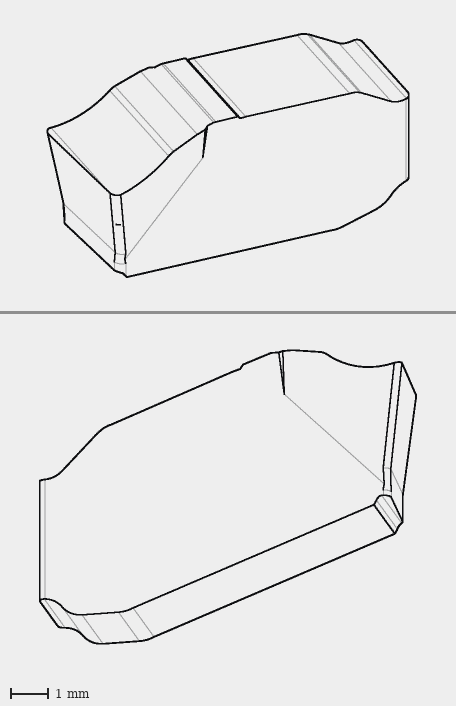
import cadquery as cq
import math

length = 10.0
height = 7.0
body_width = 2.5
tip_width = 3.04

tail_top = 3.9
tail_land = 0.16
tail_arc_radius = 0.7
ramp_angle = math.radians(45)
ramp_end = (length - 1.61, 5.08)
shoulder_low = (length - 1.67, 5.13)
shoulder_mid = (length - 1.82, 5.24)
shoulder_high = (length - 2.0, 5.31)
slope_end = (length - 5.36, 6.56)
step_foot = (length - 5.54, 6.61)
step_head = (length - 5.62, 6.73)
crown_blend_start = (length - 6.33, 6.98)
crown_blend_mid = (length - 6.36, 6.99)
crown_back = length - 6.4
crown_front = length - 7.0
brow_start = (2.2, 6.87)
brow_mid = (2.12, 6.84)
dip_start = (2.04, 6.79)
dip_middle = (1.05, 6.35)
lip_start = (0.21, 6.37)
tip_height = 6.42

tail_bottom = 0.53
tail_hollow_mid = (length - 0.44, 0.45)
tail_hollow_end = (length - 0.66, 0.26)
heel_mid = (length - 0.88, 0.08)
heel_end = (length - 1.2, 0.0)
keel_end = length - 2.2
keel_arc_mid = (length - 2.4, 0.02)
keel_arc_end = (length - 2.6, 0.09)
chin_back = (0.79, 2.5)
chin_bend = (0.72, 2.62)
chin_mid = (0.66, 2.71)
chin_front = (0.58, 2.75)

front_skew = 4.5
pivot_x = -1.32
relief_setback = 0.34
relief_height = 3.52
front_radius = 0.24
arc_clearance = 0.005
tail_radius = 0.18

flare_apex = (length - 6.75, 5.81)
flare_back_setback = 0.15
flare_back_slant = 0.13
flare_reach = 20
flare_diagonal = 15.0
overhang = 0.5

flare_rate = (tip_width - body_width) / 2 / (flare_apex[0] + tip_height - flare_apex[1])
relief_slope = relief_setback / (tip_height - relief_height)
skew_slope = math.tan(math.radians(front_skew))
skew_stretch = 1 / math.cos(math.radians(front_skew))


def make_profile(width):
    """Extrude the outline, left overlong at the front, centred on X = 0."""
    arc_run = tail_arc_radius * math.sin(ramp_angle)
    arc_rise = tail_arc_radius * (1 - math.cos(ramp_angle))
    arc_start_y = length - tail_land
    mid_run = tail_arc_radius * math.sin(ramp_angle / 2)
    mid_rise = tail_arc_radius * (1 - math.cos(ramp_angle / 2))
    lip_slope = (tip_height - lip_start[1]) / lip_start[0]
    return (
        cq.Workplane("YZ")
        .moveTo(length, tail_bottom)
        .lineTo(length, tail_top)
        .lineTo(arc_start_y, tail_top)
        .threePointArc(
            (arc_start_y - mid_run, tail_top + mid_rise),
            (arc_start_y - arc_run, tail_top + arc_rise),
        )
        .lineTo(*ramp_end)
        .lineTo(*shoulder_low)
        .threePointArc(shoulder_mid, shoulder_high)
        .lineTo(*slope_end)
        .lineTo(*step_foot)
        .lineTo(*step_head)
        .lineTo(*crown_blend_start)
        .threePointArc(crown_blend_mid, (crown_back, height))
        .lineTo(crown_front, height)
        .lineTo(*brow_start)
        .threePointArc(brow_mid, dip_start)
        .threePointArc(dip_middle, lip_start)
        .lineTo(-overhang, tip_height + overhang * lip_slope)
        .lineTo(-overhang, chin_front[1])
        .lineTo(*chin_front)
        .threePointArc(chin_mid, chin_bend)
        .lineTo(*chin_back)
        .lineTo(*keel_arc_end)
        .threePointArc(keel_arc_mid, (keel_end, 0))
        .lineTo(*heel_end)
        .threePointArc(heel_mid, tail_hollow_end)
        .threePointArc(tail_hollow_mid, (length - tail_land, tail_bottom))
        .close()
        .extrude(width / 2, both=True)
    )


def make_flare(side):
    """Three-sided cone that widens the head on one side (+1 or -1) of the body."""
    apex_y, apex_z = flare_apex
    rise = height - apex_z
    back_inner_y = flare_back_setback
    back_outer_y = flare_back_setback - flare_back_slant
    outer_step = flare_rate * (rise - back_outer_y)
    base_x = side * body_width / 2
    outer_x = base_x + side * flare_reach * outer_step
    top_z = apex_z + flare_reach * rise
    apex = cq.Vector(base_x, apex_y, apex_z)
    front = cq.Vector(base_x, apex_y - flare_diagonal, apex_z - flare_diagonal)
    inner = cq.Vector(base_x, apex_y + flare_reach * back_inner_y, top_z)
    outer = cq.Vector(outer_x, apex_y + flare_reach * back_outer_y, top_z)
    triangles = [(apex, front, inner), (apex, inner, outer), (apex, outer, front), (front, outer, inner)]
    faces = [cq.Face.makeFromWires(cq.Wire.makePolygon(t, close=True)) for t in triangles]
    solid = cq.Solid.makeSolid(cq.Shell.makeShell(faces))
    return make_profile(2 * tip_width).intersect(cq.Workplane(solid))


def make_front_cutter():
    """Everything ahead of the two relief faces, skewed about the leading corner."""
    top_z = 2 * height
    return (
        cq.Workplane("YZ")
        .moveTo(-length, 0)
        .lineTo(relief_setback, 0)
        .lineTo(relief_setback, relief_height)
        .lineTo(-relief_slope * (top_z - tip_height), top_z)
        .lineTo(-length, top_z)
        .close()
        .extrude(2 * tip_width, both=True)
        .rotate((pivot_x, 0, 0), (pivot_x, 0, 1), front_skew)
    )


def front_corner(side, z):
    """Meeting point of one side face and the front relief faces at height z."""
    setback = min(relief_setback, relief_slope * (tip_height - z))
    front_y = setback * skew_stretch - pivot_x * skew_slope
    flush_y = flare_apex[0] + z - flare_apex[1]
    half_width = body_width / 2
    y = front_y + side * half_width * skew_slope
    if flush_y > y:
        skewed_flare = side * skew_slope * flare_rate
        y = (y + skewed_flare * flush_y) / (1 + skewed_flare)
        half_width += flare_rate * (flush_y - y)
    return side * half_width, y


def flush_height(side):
    """Height at which the flare starts along one front corner."""
    corner_y = front_corner(side, 0)[1]
    return corner_y + flare_apex[1] - flare_apex[0]


def make_corner_cutter(side):
    """Material outside one rounded front corner, with a section at each change of direction."""
    arc_inset = front_radius * (1 - math.sqrt(0.5))
    lean = flare_rate * front_radius
    wires = []
    for z in (chin_back[1], flush_height(side), relief_height, height + overhang):
        x, y = front_corner(side, z)
        side_x = side * max(body_width / 2, abs(x) - lean)
        front_y = y - side * front_radius * skew_slope
        on_front = cq.Vector(x - side * front_radius, front_y - arc_clearance, z)
        on_side = cq.Vector(side_x + side * arc_clearance, y + front_radius, z)
        on_arc = cq.Vector(x - side * arc_inset, y + arc_inset, z)
        outside = [
            on_side + cq.Vector(side * overhang, 0, 0),
            cq.Vector(x + side * overhang, y - overhang, z),
            on_front - cq.Vector(0, overhang, 0),
        ]
        points = [on_side, *outside, on_front]
        edges = [cq.Edge.makeLine(a, b) for a, b in zip(points, points[1:])]
        edges.append(cq.Edge.makeThreePointArc(on_front, on_arc, on_side))
        wires.append(cq.Wire.assembleEdges(edges))
    return cq.Workplane(cq.Solid.makeLoft(wires, True))


insert = make_profile(body_width)
for side in (-1, 1):
    insert = insert.union(make_flare(side))
insert = insert.cut(make_front_cutter())

insert = insert.faces(">Y").edges("|Z").fillet(tail_radius)
for side in (-1, 1):
    insert = insert.cut(make_corner_cutter(side))
result = insert